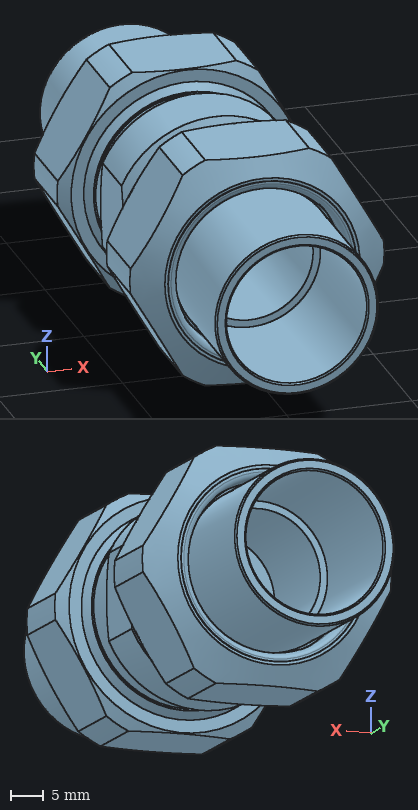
import cadquery as cq
import math

half_length = 45.5

tail_radius = 26.0 / 2
tail_bore_radius = 22.4 / 2
tail_edge_chamfer = 0.3
flange_length = 2.7

nut_across_flats = 37.0
flat_turn = 30
nut_corner_radius = 40.6 / 2
nut_back = 11.65
nut_face = 27.6
nut_face_radius = 15.6
nut_back_radius = 18.4
nut_cone_slope = math.tan(math.radians(30))
nut_opening_radius = 26.9 / 2
nut_opening_round = 1.1
nut_wall = 3.5
nut_shoulder = nut_face - nut_wall
recess_radius = 30.0 / 2
recess_depth = 0.2

lip_length = 1.3
lip_land = 0.2
lip_tip_radius = 30.3 / 2
lip_root_radius = 16.4

body_radius = 29.8 / 2
body_end = nut_shoulder - flange_length
body_bore_radius = 20.0 / 2
web_thickness = 3.6
hub_radius = 33.0 / 2
hub_across_flats = 30.0
hub_length = 12.0
hub_center = 1.5
hub_chamfer_length = 1.1


def revolve_profile(points):
    """Revolve (radius, y) points about the Y axis."""
    return cq.Workplane("XY").polyline(points).close().revolve(360, (0, 0, 0), (0, 1, 0))


def cylinder(radius, start, end):
    return revolve_profile([(0, start), (radius, start), (radius, end), (0, end)])


def make_body():
    low = hub_center - hub_length / 2
    high = hub_center + hub_length / 2
    hub = revolve_profile([
        (0, low),
        (body_radius, low),
        (hub_radius, low + hub_chamfer_length),
        (hub_radius, high - hub_chamfer_length),
        (body_radius, high),
        (0, high),
    ])
    wrench_flats = cq.Workplane("XY").box(hub_across_flats, 2 * half_length, 2 * hub_radius)
    body = cylinder(body_radius, -body_end, body_end).union(hub.intersect(wrench_flats))
    for side in (-1, 1):
        body = body.cut(cylinder(body_bore_radius, side * web_thickness / 2, side * body_end))
    return body


def make_nut():
    """Union nut on the +Y end."""
    front_cone = (nut_corner_radius - nut_face_radius) * nut_cone_slope
    back_cone = (nut_corner_radius - nut_back_radius) * nut_cone_slope
    envelope = revolve_profile([
        (0, nut_back),
        (nut_back_radius, nut_back),
        (nut_corner_radius, nut_back + back_cone),
        (nut_corner_radius, nut_face - front_cone),
        (nut_face_radius, nut_face),
        (0, nut_face),
    ])
    hexagon = (
        cq.Workplane("XZ")
        .polygon(6, nut_across_flats, circumscribed=True)
        .extrude(-half_length)
        .rotate((0, 0, 0), (0, 1, 0), flat_turn)
    )
    lip_end = nut_back - lip_length
    lip = revolve_profile([
        (0, lip_end),
        (lip_tip_radius, lip_end),
        (lip_tip_radius, lip_end + lip_land),
        (lip_root_radius, nut_back),
        (0, nut_back),
    ])
    recess_floor = nut_face - recess_depth
    opening_edge_radius = nut_opening_radius + nut_opening_round
    opening = (
        cq.Workplane("XY")
        .moveTo(0, nut_shoulder)
        .lineTo(nut_opening_radius, nut_shoulder)
        .lineTo(nut_opening_radius, recess_floor - nut_opening_round)
        .radiusArc((opening_edge_radius, recess_floor), nut_opening_round)
        .lineTo(recess_radius, recess_floor)
        .lineTo(recess_radius, nut_face)
        .lineTo(0, nut_face)
        .close()
        .revolve(360, (0, 0, 0), (0, 1, 0))
    )
    cavity = cylinder(body_radius, lip_end, nut_shoulder)
    return envelope.intersect(hexagon).union(lip).cut(cavity).cut(opening)


def make_tail():
    """Tube with a flange clamped between nut shoulder and body, on the +Y end."""
    chamfer_start = half_length - tail_edge_chamfer
    return revolve_profile([
        (tail_bore_radius, body_end),
        (body_radius, body_end),
        (body_radius, nut_shoulder),
        (tail_radius, nut_shoulder),
        (tail_radius, chamfer_start),
        (tail_radius - tail_edge_chamfer, half_length),
        (tail_bore_radius + tail_edge_chamfer, half_length),
        (tail_bore_radius, chamfer_start),
    ])


body = make_body()
nuts = []
tails = []
for turn in (0, 180):
    nuts.append(make_nut().rotate((0, 0, 0), (0, 0, 1), turn).val())
    tails.append(make_tail().rotate((0, 0, 0), (0, 0, 1), turn).val())

result = cq.Compound.makeCompound([body.val(), *nuts, *tails])